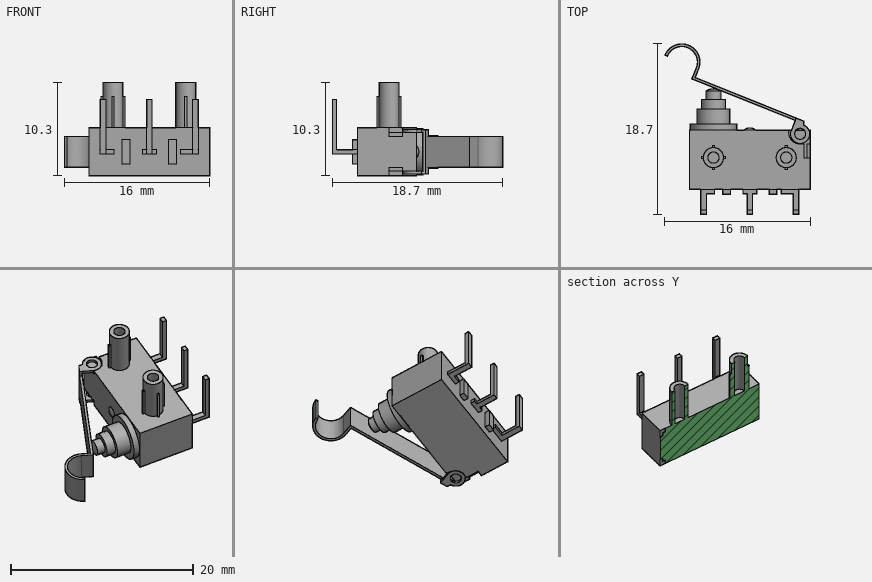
import cadquery as cq
import math


HOUSING_LENGTH = 13.3
HOUSING_DEPTH = 6.5
HOUSING_HEIGHT = 5.3
HOUSING_END = HOUSING_LENGTH / 2
MID_Z = HOUSING_HEIGHT / 2

PEG_SPACING = 8.0
PEG_Y = 3.49
PEG_RADIUS = 1.1
PEG_BORE_RADIUS = 0.62
PEG_HEIGHT = 4.99
RIB_REACH = 1.33
RIB_WIDTH = 0.25
RIB_HEIGHT = 3.45

TERMINAL_THICKNESS = 0.49
TERMINAL_REACH = 2.75
TERMINAL_TOP = 8.42
OUTER_STEM_WIDTH = 0.64
OUTER_STEM_END = 5.4
MIDDLE_STEM_WIDTH = 0.6
FOOT_LENGTH = 1.54
LONG_FOOT_LENGTH = 1.97

BLOCK_WIDTH = 0.86
BLOCK_HEIGHT = 2.7
BLOCK_REACH = 0.55
BLOCK_X = 2.55

BUTTON_RADIUS = 0.65
BUTTON_HEIGHT = 0.26

PLUNGER_X = -PEG_SPACING / 2
PLUNGER_TIERS = [(2.57, 0.7), (1.82, 2.35), (1.33, 3.38), (0.85, 4.3)]
PLUNGER_DOME_HEIGHT = 0.26

SHEET = 0.3
LEVER_TILT = math.radians(21.9)
PIVOT_X = 5.53
PIVOT_Y = 6.1
EAR_RADIUS = 1.05
EAR_HOLE_RADIUS = 0.6
EAR_THICKNESS = 0.32
EAR_SPAN = 4.9
EAR_END_X = 5.95
ARM_WIDTH = 3.41
ARM_LENGTH = 13.31
ARM_OFFSET = 1.16
ARM_TOP = ARM_OFFSET + SHEET
HOOK_LEG = 1.31
HOOK_RADIUS = 2.0

RECESS_RADIUS = 1.25
RECESS_Y = 6.25
RECESS_DEPTH = (HOUSING_HEIGHT - EAR_SPAN) / 2 + EAR_THICKNESS
RECESS_BOTTOM = RECESS_Y - RECESS_RADIUS
SLOT_BOTTOM = 3.47
NOTCH_WIDTH = 0.35
NOTCH_DEPTH = (HOUSING_HEIGHT - ARM_WIDTH) / 2


def block(x0, x1, y0, y1, z0, z1):
    """Box between two opposite corners."""
    return cq.Workplane("XY").box(x1 - x0, y1 - y0, z1 - z0, centered=False).translate((x0, y0, z0))


def slab(sketch, z0, z1):
    """Closed outline on the XY plane, extruded from z0 to z1."""
    return sketch.extrude(z1 - z0).translate((0, 0, z0))


def dome_profile(start, base_radius, base_y, height):
    """Half outline of a spherical cap, from its rim to the axis of revolution."""
    sphere_radius = (base_radius**2 + height**2) / (2 * height)
    centre_y = base_y + height - sphere_radius
    half_angle = math.asin(base_radius / sphere_radius) / 2
    middle = (sphere_radius * math.sin(half_angle), centre_y + sphere_radius * math.cos(half_angle))
    return start.threePointArc(middle, (0, base_y + height))


def turned(profile, x):
    """Solid of revolution about the Y direction at mid height, moved to x on the plunger face."""
    return profile.close().revolve(360, (0, 0), (0, 1)).translate((x, HOUSING_DEPTH, MID_Z))


def make_peg(x, ribs_along_x):
    """Hollow peg on the upper side, with ribs along Y and, if asked for, also along X."""
    half_width = RIB_WIDTH / 2
    peg = cq.Workplane("XY").circle(PEG_RADIUS).extrude(PEG_HEIGHT)
    peg = peg.union(block(-half_width, half_width, -RIB_REACH, RIB_REACH, 0, RIB_HEIGHT))
    if ribs_along_x:
        peg = peg.union(block(-RIB_REACH, RIB_REACH, -half_width, half_width, 0, RIB_HEIGHT))
    bore = cq.Workplane("XY").circle(PEG_BORE_RADIUS).extrude(PEG_HEIGHT)
    return peg.cut(bore).translate((x, PEG_Y, HOUSING_HEIGHT))


def make_terminal(stem_start, stem_width, foot_start, foot_length):
    """Terminal at mid height, placed by the lower X ends of its stem and its foot."""
    z0 = MID_Z - TERMINAL_THICKNESS / 2
    z1 = MID_Z + TERMINAL_THICKNESS / 2
    stem_end = stem_start + stem_width
    prong_back = TERMINAL_THICKNESS - TERMINAL_REACH
    foot = block(foot_start, foot_start + foot_length, -TERMINAL_THICKNESS, 0, z0, z1)
    stem = block(stem_start, stem_end, -TERMINAL_REACH, 0, z0, z1)
    prong = block(stem_start, stem_end, -TERMINAL_REACH, prong_back, z0, TERMINAL_TOP)
    return foot.union(stem).union(prong)


def make_hinge_recess():
    """Recess in the upper broad side: a rounded pocket for the ear, a slot and a deeper end notch."""
    floor = HOUSING_HEIGHT - RECESS_DEPTH
    pocket = slab(cq.Workplane("XY").center(PIVOT_X, RECESS_Y).circle(RECESS_RADIUS), floor, HOUSING_HEIGHT)
    corner = block(PIVOT_X, HOUSING_END, RECESS_BOTTOM, HOUSING_DEPTH, floor, HOUSING_HEIGHT)
    slot = block(EAR_END_X, HOUSING_END, SLOT_BOTTOM, RECESS_BOTTOM, floor, HOUSING_HEIGHT)
    notch = block(HOUSING_END - NOTCH_WIDTH, HOUSING_END, SLOT_BOTTOM, RECESS_BOTTOM,
                  HOUSING_HEIGHT - NOTCH_DEPTH, HOUSING_HEIGHT)
    return pocket.union(corner).union(slot).union(notch)


def make_housing():
    """Housing block with its hinge recesses, pegs, terminals, spacer blocks and button."""
    body = block(-HOUSING_END, HOUSING_END, 0, HOUSING_DEPTH, 0, HOUSING_HEIGHT)
    recess = make_hinge_recess()
    body = body.cut(recess).cut(recess.mirror("XY", (0, 0, MID_Z)))

    body = body.union(make_peg(-PEG_SPACING / 2, True))
    body = body.union(make_peg(PEG_SPACING / 2, False))

    right_stem = OUTER_STEM_END - OUTER_STEM_WIDTH
    right_foot = OUTER_STEM_END - LONG_FOOT_LENGTH
    body = body.union(make_terminal(-OUTER_STEM_END, OUTER_STEM_WIDTH, -OUTER_STEM_END, FOOT_LENGTH))
    body = body.union(make_terminal(-MIDDLE_STEM_WIDTH / 2, MIDDLE_STEM_WIDTH, -FOOT_LENGTH / 2, FOOT_LENGTH))
    body = body.union(make_terminal(right_stem, OUTER_STEM_WIDTH, right_foot, LONG_FOOT_LENGTH))

    for x in (-BLOCK_X, BLOCK_X):
        body = body.union(block(x - BLOCK_WIDTH / 2, x + BLOCK_WIDTH / 2, -BLOCK_REACH, 0,
                                MID_Z - BLOCK_HEIGHT / 2, MID_Z + BLOCK_HEIGHT / 2))

    button = cq.Workplane("XY").lineTo(BUTTON_RADIUS, 0)
    return body.union(turned(dome_profile(button, BUTTON_RADIUS, 0, BUTTON_HEIGHT), 0))


def make_plunger():
    """Stepped round plunger with a domed tip under the lever arm."""
    profile = cq.Workplane("XY")
    tier_base = 0
    for radius, tier_top in PLUNGER_TIERS:
        profile = profile.lineTo(radius, tier_base).lineTo(radius, tier_top)
        tier_base = tier_top
    tip_radius, tip_base = PLUNGER_TIERS[-1]
    return turned(dome_profile(profile, tip_radius, tip_base, PLUNGER_DOME_HEIGHT), PLUNGER_X)


def lever_point(along, above):
    """Point at a distance along the arm from the pivot towards the housing end, and square to it."""
    return (
        PIVOT_X + along * math.cos(LEVER_TILT) + above * math.sin(LEVER_TILT),
        PIVOT_Y - along * math.sin(LEVER_TILT) + above * math.cos(LEVER_TILT),
    )


def end_point(above):
    """Point of the lever's upright end face, at a distance above the pivot square to the arm."""
    along = (EAR_END_X - PIVOT_X - above * math.sin(LEVER_TILT)) / math.cos(LEVER_TILT)
    return lever_point(along, above)


def make_arm():
    """Straight arm with its hooked end: a short leg square to the arm and a half circle."""
    inner_radius = HOOK_RADIUS - SHEET
    centre_along = -ARM_LENGTH - inner_radius
    centre_above = ARM_OFFSET + HOOK_LEG
    outline = (
        cq.Workplane("XY")
        .moveTo(*lever_point(-EAR_RADIUS, ARM_OFFSET))
        .lineTo(*lever_point(-ARM_LENGTH, ARM_OFFSET))
        .lineTo(*lever_point(-ARM_LENGTH, centre_above))
        .threePointArc(
            lever_point(centre_along, centre_above + inner_radius),
            lever_point(centre_along - inner_radius, centre_above),
        )
        .lineTo(*lever_point(centre_along - HOOK_RADIUS, centre_above))
        .threePointArc(
            lever_point(centre_along, centre_above + HOOK_RADIUS),
            lever_point(centre_along + HOOK_RADIUS, centre_above),
        )
        .lineTo(*lever_point(SHEET - ARM_LENGTH, ARM_TOP))
        .lineTo(*lever_point(-EAR_RADIUS, ARM_TOP))
        .close()
    )
    return slab(outline, MID_Z - ARM_WIDTH / 2, MID_Z + ARM_WIDTH / 2)


def make_ear(z0):
    """Side ear with its round eye around the pivot."""
    z1 = z0 + EAR_THICKNESS
    cheek = cq.Workplane("XY").polyline([
        (PIVOT_X, PIVOT_Y),
        lever_point(-EAR_RADIUS, 0),
        lever_point(-EAR_RADIUS, ARM_TOP),
        end_point(ARM_TOP),
        (EAR_END_X, PIVOT_Y),
    ]).close()
    eye = cq.Workplane("XY").center(PIVOT_X, PIVOT_Y).circle(EAR_RADIUS)
    hole = cq.Workplane("XY").center(PIVOT_X, PIVOT_Y).circle(EAR_HOLE_RADIUS)
    return slab(cheek, z0, z1).union(slab(eye, z0, z1)).cut(slab(hole, z0, z1))


def make_lever():
    """Sheet lever: the hooked arm widens into a bridge that carries two ears."""
    z0 = MID_Z - EAR_SPAN / 2
    z1 = MID_Z + EAR_SPAN / 2
    bridge = cq.Workplane("XY").polyline([
        lever_point(-EAR_RADIUS, ARM_OFFSET),
        lever_point(-EAR_RADIUS, ARM_TOP),
        end_point(ARM_TOP),
        end_point(ARM_OFFSET),
    ]).close()
    lever = make_arm().union(slab(bridge, z0, z1))
    for ear_z in (z0, z1 - EAR_THICKNESS):
        lever = lever.union(make_ear(ear_z))
    return lever


housing = make_housing()
plunger = make_plunger()
lever = make_lever()

result = cq.Compound.makeCompound([housing.solids().val(), plunger.val(), lever.solids().val()])